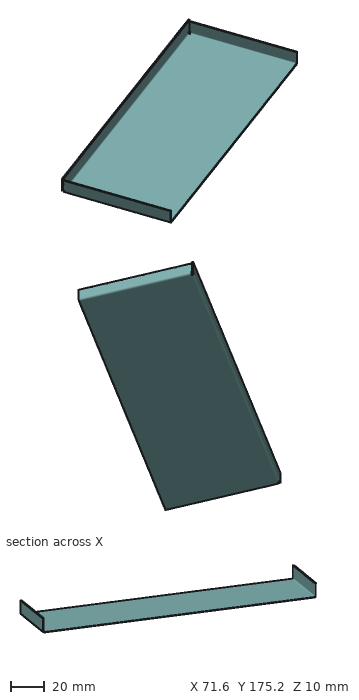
import cadquery as cq
import math

length_x = 71.6
width_y = 175.2
back_height = 10.0

sheet = 0.8
inner_radius = 0.6
outer_radius = inner_radius + sheet
corner_gap = 0.1

half_width = width_y / 2
flat_length = length_x - outer_radius
flat_width = width_y - 2 * outer_radius
side_height = back_height - sheet - corner_gap
side_start = sheet + corner_gap


def box(x_range, y_range, z_range):
    """Box spanning the given (low, high) ranges."""
    size = [high - low for low, high in (x_range, y_range, z_range)]
    corner = (x_range[0], y_range[0], z_range[0])
    return cq.Workplane("XY").box(*size, centered=False).translate(corner)


def quarter_bend(plane, run):
    """Quarter-round bend: starts on the outer wall face at local x = 0 and ends at the floor."""
    diagonal = math.sin(math.radians(45))
    outer_mid = outer_radius * (1 - diagonal)
    inner_mid = outer_radius - inner_radius * diagonal
    return (
        cq.Workplane(plane)
        .moveTo(0, outer_radius)
        .threePointArc((outer_mid, outer_mid), (outer_radius, 0))
        .lineTo(outer_radius, sheet)
        .threePointArc((inner_mid, inner_mid), (sheet, outer_radius))
        .close()
        .extrude(run)
    )


def floor():
    return box((outer_radius, length_x), (-flat_width / 2, flat_width / 2), (0, sheet))


def back_flange():
    """Full-width wall on the -X edge; its bend stops at the ends of the flat floor."""
    bend_plane = cq.Plane(origin=(0, flat_width / 2, 0), xDir=(1, 0, 0), normal=(0, -1, 0))
    wall = box((0, sheet), (-half_width, half_width), (outer_radius, back_height))
    return wall.union(quarter_bend(bend_plane, flat_width))


def side_flange():
    """Wall on the -Y edge, lower than and just clear of the back wall; its bend follows the flat floor."""
    bend_plane = cq.Plane(origin=(outer_radius, -half_width, 0), xDir=(0, 1, 0), normal=(1, 0, 0))
    wall = box((side_start, length_x), (-half_width, sheet - half_width), (outer_radius, side_height))
    return wall.union(quarter_bend(bend_plane, flat_length))


side = side_flange()
result = floor().union(back_flange()).union(side).union(side.mirror("XZ"))